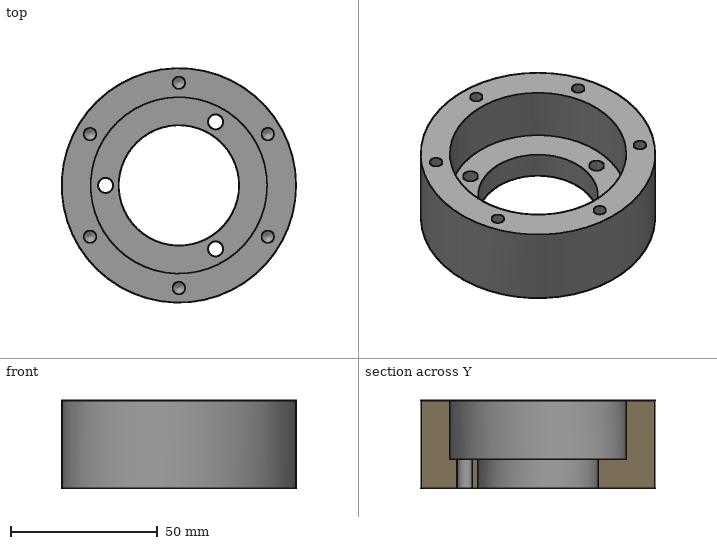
import cadquery as cq
import math

outer_diameter = 80.0
height = 30.0
floor_thickness = 10.0
recess_diameter = 60.2
bore_diameter = 41.0

rim_hole_count = 6
rim_hole_diameter = 4.2
rim_hole_circle_diameter = 70.0
rim_hole_depth = 12.0
rim_hole_start_angle = 90.0
drill_point_angle = 118.0

floor_hole_count = 3
floor_hole_diameter = 5.0
floor_hole_circle_diameter = 50.0
floor_hole_start_angle = 180.0


def cup_body():
    """Round body, standing on Z = 0, with a recess above a bored floor."""
    body = cq.Workplane("XY").circle(outer_diameter / 2).circle(bore_diameter / 2).extrude(height)
    recess = (
        cq.Workplane("XY", origin=(0, 0, floor_thickness))
        .circle(recess_diameter / 2)
        .extrude(height - floor_thickness)
    )
    return body.cut(recess)


def circular_pattern(tool, circle_diameter, start_angle, count):
    """Copies of a tool on the Z axis, spread evenly over a hole circle."""
    radius = circle_diameter / 2
    copies = cq.Workplane("XY")
    for index in range(count):
        angle = math.radians(start_angle + index * 360 / count)
        position = (radius * math.cos(angle), radius * math.sin(angle), 0)
        copies = copies.add(tool.translate(position))
    return copies.combine()


def rim_drill():
    """Half profile of a drilled hole with a conical end, revolved about Z."""
    radius = rim_hole_diameter / 2
    point_length = radius / math.tan(math.radians(drill_point_angle / 2))
    shoulder_height = height - rim_hole_depth
    return (
        cq.Workplane("XZ")
        .moveTo(0, height)
        .lineTo(radius, height)
        .lineTo(radius, shoulder_height)
        .lineTo(0, shoulder_height - point_length)
        .close()
        .revolve(360, (0, 0, 0), (0, 1, 0))
    )


def floor_drill():
    """Plain cylinder through the floor."""
    return cq.Workplane("XY").circle(floor_hole_diameter / 2).extrude(floor_thickness)


rim_holes = circular_pattern(
    rim_drill(), rim_hole_circle_diameter, rim_hole_start_angle, rim_hole_count
)
floor_holes = circular_pattern(
    floor_drill(), floor_hole_circle_diameter, floor_hole_start_angle, floor_hole_count
)

result = cup_body().cut(rim_holes).cut(floor_holes)